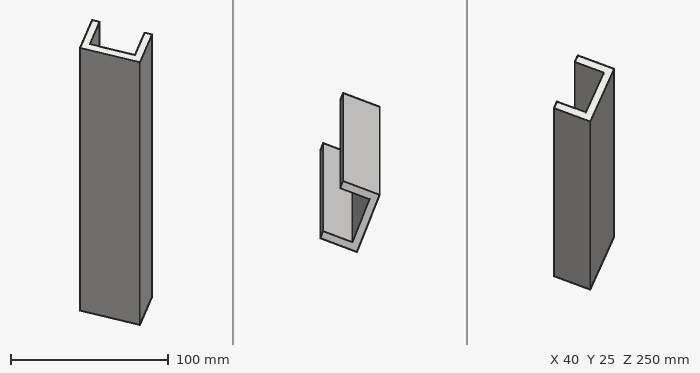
import cadquery as cq

width = 40.0
depth = 25.0
length = 250.0
wall = 5.0

outer = cq.Workplane("XY").box(width, depth, length)

cavity = (
    cq.Workplane("XY")
    .box(width - 2 * wall, depth - wall, length)
    .translate((0, wall / 2, 0))
)

result = outer.cut(cavity)